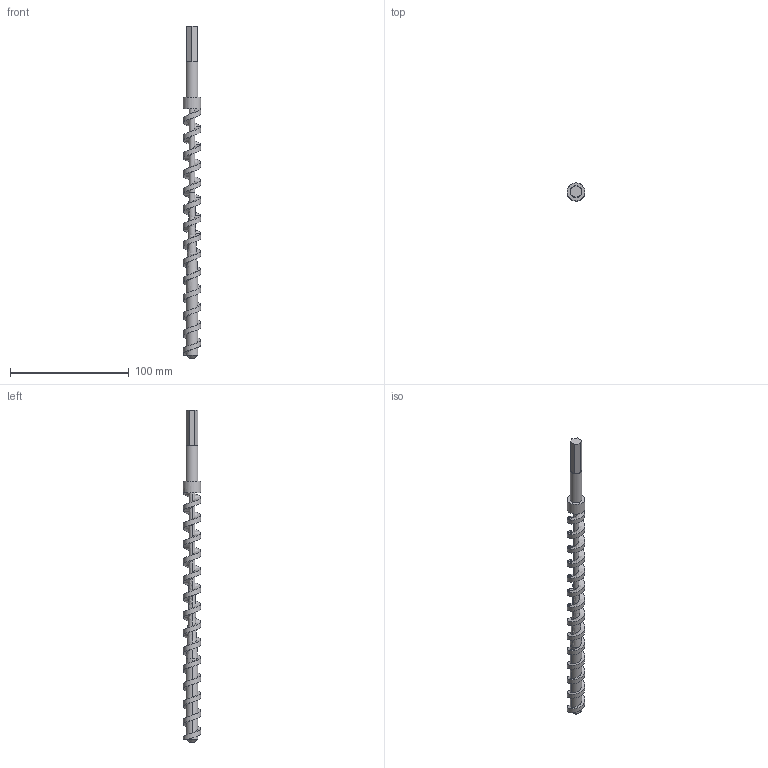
import cadquery as cq
import math

total_length = 280.0
hex_length = 30.0
shank_length = 30.0
collar_length = 10.0
slim_core_length = 70.0
flare_length = 70.0
tip_length = 2.5

shank_diameter = 10.0
collar_diameter = 15.0
slim_core_diameter = 5.0
thick_core_diameter = 10.0
tip_diameter = 5.0

pitch = 15.0
flight_width = 4.0
flight_diameter = collar_diameter
flight_root_radius = 2.0

hex_bottom = total_length - hex_length
collar_top = hex_bottom - shank_length
collar_bottom = collar_top - collar_length
flare_top = collar_bottom - slim_core_length
flare_bottom = flare_top - flare_length


def make_hex_drive():
    """Hexagon with flats facing +X and -X and its corners on the shank diameter."""
    corner_offset = 30
    hexagon = cq.Workplane("XY", origin=(0, 0, hex_bottom)).polygon(6, shank_diameter)
    return hexagon.extrude(hex_length).rotate((0, 0, 0), (0, 0, 1), corner_offset)


def make_turned_body():
    """Shank, collar, core and conical tip as one revolved profile.

    The core flares from slim to thick along an arc that is tangent to the slim end.
    """
    profile = (
        cq.Workplane("XZ")
        .moveTo(0, hex_bottom)
        .lineTo(shank_diameter / 2, hex_bottom)
        .lineTo(shank_diameter / 2, collar_top)
        .lineTo(collar_diameter / 2, collar_top)
        .lineTo(collar_diameter / 2, collar_bottom)
        .lineTo(slim_core_diameter / 2, collar_bottom)
        .lineTo(slim_core_diameter / 2, flare_top)
        .tangentArcPoint((thick_core_diameter / 2, flare_bottom), relative=False)
        .lineTo(thick_core_diameter / 2, tip_length)
        .lineTo(tip_diameter / 2, 0)
        .lineTo(0, 0)
        .close()
    )
    body = profile.revolve(360, (0, 0, 0), (0, 1, 0))
    return body.rotate((0, 0, 0), (0, 0, 1), 180)


def make_flight_turn(start):
    """One full turn of the rectangular flight, with its lower end at +X on the level start."""
    outer_radius = flight_diameter / 2
    path = cq.Wire.makeHelix(pitch, pitch, outer_radius, cq.Vector(0, 0, start))
    section = (
        cq.Workplane("XZ")
        .moveTo(flight_root_radius, start)
        .lineTo(outer_radius, start)
        .lineTo(outer_radius, start + flight_width)
        .lineTo(flight_root_radius, start + flight_width)
        .close()
    )
    return section.sweep(cq.Workplane(path), isFrenet=True)


def trim_to_core(turn):
    """Cut a flight turn off flat at the collar face and where the conical tip begins."""
    envelope = cq.Workplane("XY", origin=(0, 0, tip_length)).circle(flight_diameter)
    return turn.intersect(envelope.extrude(collar_bottom - tip_length))


def add_flight(body):
    """Wind the flight turn by turn up the core, trimming the turns that overrun its ends."""
    turn_count = math.ceil((collar_bottom - tip_length) / pitch)
    for turn_index in range(turn_count, -1, -1):
        start = collar_bottom - flight_width - turn_index * pitch
        turn = make_flight_turn(start)
        if turn_index in (0, turn_count):
            turn = trim_to_core(turn)
        body = body.union(turn)
    return body


result = add_flight(make_turned_body()).union(make_hex_drive())